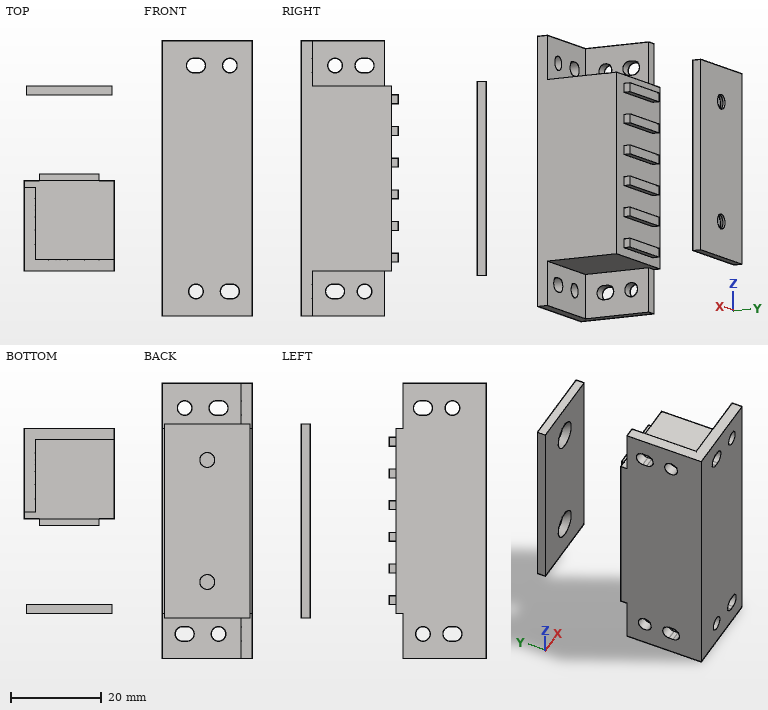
import cadquery as cq

height = 61.0
width = 20.0
front_wall = 2.5
side_wall = 2.5
side_wall_depth = 18.5

block_height = 41.0
block_depth = width

bar_count = 6
bar_pitch = 7.0
bar_height = 2.0
bar_length = 13.2
bar_depth = 1.5

hole_diameter = 3.2
slot_length = 4.15
slot_height = hole_diameter
hole_end_distance = 5.5
near_hole = 7.5
front_far_hole = 15.0
side_far_hole = 14.0

total_depth = 41.0
plate_width = 19.0
plate_height = 43.0
plate_thickness = 2.0
plate_hole_spacing = 27.0
plate_hole_diameter = 3.3
countersink_diameter = 6.3
countersink_angle = 90

mid_x = width / 2
mid_z = height / 2
top_hole_z = height - hole_end_distance


def box_from(x, y, z, dx, dy, dz):
    """Box with its lowest corner at (x, y, z)."""
    return cq.Workplane("XY").box(dx, dy, dz, centered=False).translate((x, y, z))


def wall_cutters(plane, round_holes, slots, wall):
    """Cutters through a wall, reaching from its outer face to its inner face."""
    rounds = cq.Workplane(plane).pushPoints(round_holes).circle(hole_diameter / 2).extrude(wall)
    ovals = cq.Workplane(plane).pushPoints(slots).slot2D(slot_length, slot_height).extrude(wall)
    return rounds.union(ovals)


def make_housing():
    body = box_from(0, 0, 0, width, front_wall, height)
    body = body.union(box_from(0, 0, 0, side_wall, side_wall_depth, height))

    block_bottom = mid_z - block_height / 2
    body = body.union(box_from(0, 0, block_bottom, width, block_depth, block_height))

    first_bar_z = mid_z - bar_pitch * (bar_count - 1) / 2
    for index in range(bar_count):
        bar_bottom = first_bar_z + index * bar_pitch - bar_height / 2
        bar = box_from(mid_x - bar_length / 2, block_depth, bar_bottom, bar_length, bar_depth, bar_height)
        body = body.union(bar)

    front_plane = cq.Plane(origin=(0, 0, 0), xDir=(-1, 0, 0), normal=(0, 1, 0))
    front_rounds = [(-front_far_hole, top_hole_z), (-near_hole, hole_end_distance)]
    front_slots = [(-near_hole, top_hole_z), (-front_far_hole, hole_end_distance)]
    body = body.cut(wall_cutters(front_plane, front_rounds, front_slots, front_wall))

    side_rounds = [(near_hole, top_hole_z), (side_far_hole, hole_end_distance)]
    side_slots = [(side_far_hole, top_hole_z), (near_hole, hole_end_distance)]
    return body.cut(wall_cutters("YZ", side_rounds, side_slots, side_wall))


def make_plate():
    plate_front = total_depth - plate_thickness
    plate = box_from(
        mid_x - plate_width / 2, plate_front, mid_z - plate_height / 2,
        plate_width, plate_thickness, plate_height,
    )
    half_spacing = plate_hole_spacing / 2
    face = cq.Workplane("XZ", origin=(mid_x, plate_front, mid_z)).add(plate)
    return face.pushPoints([(0, -half_spacing), (0, half_spacing)]).cskHole(
        plate_hole_diameter, countersink_diameter, countersink_angle
    )


housing = make_housing()
plate = make_plate()

result = cq.Compound.makeCompound([housing.val(), plate.val()])